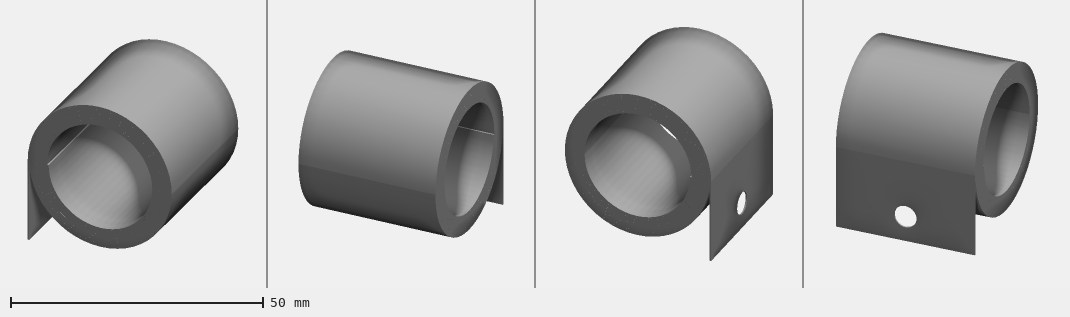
import cadquery as cq

coil_width = 31.81
strip_width = 30.0
turns = 13
pitch = 0.33
turn_gap = 0.001
tail_length = 18.0
hole_diameter = 4.8
hole_height = 5.5

strip_thickness = pitch - turn_gap
outer_radius = coil_width / 2
lower_center_x = pitch / 2


def upper_half(turn, inset):
    """Radius and centre X of the half-turn above the axis."""
    return outer_radius - turn * pitch - inset, 0.0


def lower_half(turn, inset):
    """Radius and centre X of the half-turn below the axis."""
    return outer_radius - (turn + 0.5) * pitch - inset, lower_center_x


def wind_inward(sketch, inset):
    """Add all half-turns from the tail to the inner end of the coil."""
    for turn in range(turns):
        radius, center_x = upper_half(turn, inset)
        sketch = sketch.threePointArc((center_x, radius), (center_x + radius, 0))
        radius, center_x = lower_half(turn, inset)
        sketch = sketch.threePointArc((center_x, -radius), (center_x - radius, 0))
    return sketch


def wind_outward(sketch, inset):
    """Add all half-turns from the inner end of the coil back to the tail."""
    for turn in reversed(range(turns)):
        radius, center_x = lower_half(turn, inset)
        sketch = sketch.threePointArc((center_x, -radius), (center_x + radius, 0))
        radius, center_x = upper_half(turn, inset)
        sketch = sketch.threePointArc((center_x, radius), (center_x - radius, 0))
    return sketch


def make_strip():
    """Extrude the strip profile: tail, coil, and the squared inner end."""
    tail_outer_x = -outer_radius
    tail_inner_x = tail_outer_x + strip_thickness
    inner_end_x = tail_inner_x + turns * pitch

    profile = cq.Workplane("XZ").moveTo(tail_outer_x, -tail_length).lineTo(tail_outer_x, 0)
    profile = wind_inward(profile, 0)
    profile = profile.lineTo(inner_end_x, 0)
    profile = wind_outward(profile, strip_thickness)
    profile = profile.lineTo(tail_inner_x, -tail_length).close()
    return profile.extrude(strip_width / 2, both=True)


def make_hole_cutter():
    """Cylinder that passes through the tail only, stopping short of the coil."""
    overshoot = strip_thickness
    return (
        cq.Workplane("YZ", origin=(-outer_radius - overshoot, 0, 0))
        .center(0, hole_height - tail_length)
        .circle(hole_diameter / 2)
        .extrude(strip_thickness + 2 * overshoot)
    )


result = make_strip().cut(make_hole_cutter())